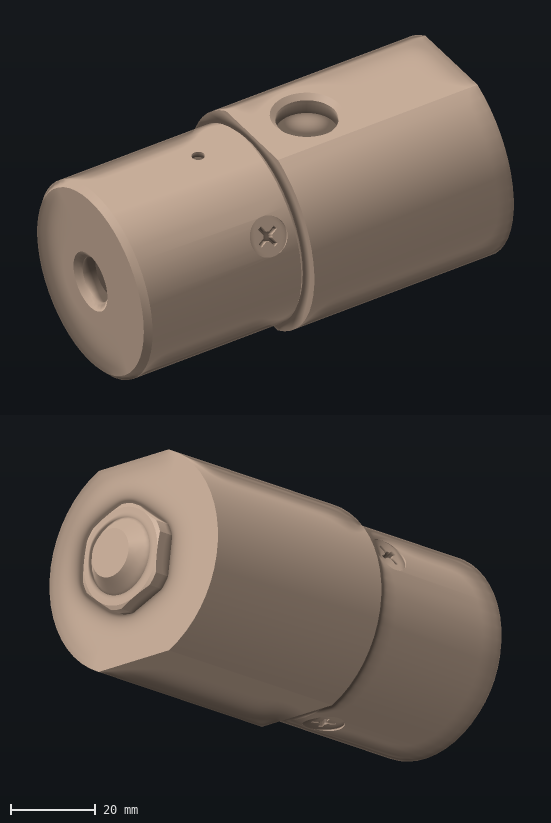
import cadquery as cq
import math


sleeve_diameter = 50.0
sleeve_length = 44.0
front_chamfer = 1.5
rear_chamfer = 1.0

neck_diameter = 42.0
neck_gap = 1.0

body_diameter = 55.0
body_height = 50.0
body_front = sleeve_length + neck_gap
body_length = 55.6
body_rear = body_front + body_length

hex_sides = 6
hex_half_angle = 180 / hex_sides
hex_across_flats = 24.0
hex_corner_diameter = 26.0
hex_height = 4.5
hex_turn = 7.8
hex_corner_bevel_height = 0.35
tip_base_diameter = 19.0
tip_end_diameter = 12.0
tip_length = 3.5

front_port_diameter = 11.45
front_port_mouth = 14.95
front_port_mouth_depth = 1.45
front_port_depth = 5.0
top_port_diameter = 14.95
top_port_mouth = 17.5
top_port_mouth_depth = 1.3
top_port_depth = 5.0
top_port_y = 60.3

vent_diameter = 3.2
vent_depth = 1.5
vent_y = 30.0

screw_y = 36.0
screw_diameter = 10.0
screw_face_radius = 24.5
screw_angles = (30.0, 150.0, 270.0)
cross_span = 6.0
cross_arm_width = 1.1
cross_center_diameter = 2.4
cross_depth = 2.0
cross_turn = 30.0


def cylinder_along_y(diameter, y_start, y_end):
    """Cylinder on the Y axis between two Y positions."""
    start_plane = cq.Workplane("XZ", origin=(0, y_start, 0))
    return start_plane.circle(diameter / 2).extrude(y_start - y_end)


def make_sleeve():
    sleeve = cylinder_along_y(sleeve_diameter, 0, sleeve_length)
    sleeve = sleeve.faces("<Y").chamfer(front_chamfer)
    return sleeve.faces(">Y").chamfer(rear_chamfer)


def make_body():
    body = cylinder_along_y(body_diameter, body_front, body_rear)
    between_flats = cq.Workplane("XY").box(body_diameter, body_length, body_height)
    return body.intersect(between_flats.translate((0, body_front + body_length / 2, 0)))


def make_hex_nut():
    """Hexagon whose corners are turned round and bevelled at the rear."""
    hex_rear = body_rear + hex_height
    sharp_corner_diameter = hex_across_flats / math.cos(math.radians(hex_half_angle))
    hexagon = (
        cq.Workplane("XZ", origin=(0, body_rear, 0))
        .polygon(hex_sides, sharp_corner_diameter)
        .extrude(-hex_height)
        .rotate((0, 0, 0), (0, 1, 0), hex_half_angle - hex_turn)
    )
    corner_radius = hex_corner_diameter / 2
    turned_blank = (
        cq.Workplane("XY")
        .moveTo(0, body_rear)
        .lineTo(corner_radius, body_rear)
        .lineTo(corner_radius, hex_rear - hex_corner_bevel_height)
        .lineTo(hex_across_flats / 2, hex_rear)
        .lineTo(0, hex_rear)
        .close()
        .revolve(360, (0, 0, 0), (0, 1, 0))
    )
    return hexagon.intersect(turned_blank)


def make_tip():
    tip_start = body_rear + hex_height
    return (
        cq.Workplane("XZ", origin=(0, tip_start, 0))
        .circle(tip_base_diameter / 2)
        .workplane(offset=-tip_length)
        .circle(tip_end_diameter / 2)
        .loft()
    )


def make_port(diameter, mouth_diameter, mouth_depth, depth):
    """Blind bore going down from z = 0, with a conical mouth."""
    radius = diameter / 2
    mouth_radius = mouth_diameter / 2
    return (
        cq.Workplane("XZ")
        .polyline([
            (0, 0),
            (mouth_radius, 0),
            (radius, -mouth_depth),
            (radius, -depth),
            (0, -depth),
        ])
        .close()
        .revolve(360, (0, 0, 0), (0, 1, 0))
    )


def make_front_port():
    port = make_port(front_port_diameter, front_port_mouth, front_port_mouth_depth, front_port_depth)
    return port.rotate((0, 0, 0), (1, 0, 0), 90)


def make_top_port():
    port = make_port(top_port_diameter, top_port_mouth, top_port_mouth_depth, top_port_depth)
    return port.translate((0, top_port_y, body_height / 2))


def make_vent():
    top_plane = cq.Workplane("XY", origin=(0, vent_y, sleeve_diameter / 2))
    return top_plane.circle(vent_diameter / 2).extrude(-vent_depth)


def make_screw_recess(angle):
    """Flat round seat with a cross recess in it, at an angle from +X toward +Z."""
    head_plane = cq.Workplane(
        cq.Plane(origin=(screw_face_radius, screw_y, 0), xDir=(0, 1, 0), normal=(1, 0, 0))
    )
    seat = head_plane.circle(screw_diameter / 2).extrude(sleeve_diameter / 2 - screw_face_radius)
    recess = seat.union(head_plane.circle(cross_center_diameter / 2).extrude(-cross_depth))
    for arm_angle in (cross_turn, cross_turn + 90):
        arm_plane = head_plane.transformed(rotate=(0, 0, arm_angle))
        recess = recess.union(arm_plane.rect(cross_span, cross_arm_width).extrude(-cross_depth))
    return recess.rotate((0, 0, 0), (0, 1, 0), -angle)


neck = cylinder_along_y(neck_diameter, sleeve_length, body_front)
result = make_sleeve().union(neck).union(make_body()).union(make_hex_nut()).union(make_tip())
result = result.cut(make_front_port()).cut(make_top_port()).cut(make_vent())
for screw_angle in screw_angles:
    result = result.cut(make_screw_recess(screw_angle))